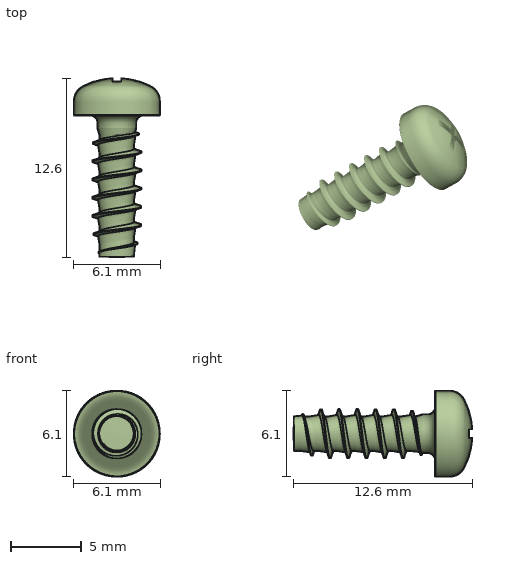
import cadquery as cq
import math


head_radius = 3.05
rim_height = 1.0
rim_chamfer = 0.05
shoulder_radius = 1.2
dome_height = 2.657
slot_width = 0.6
slot_floor = 2.41

shank_length = 10.0
neck_radius = 1.38
neck_fillet = 0.49
neck_end = -0.87
neck_cone_length = 0.53
core_radius = 1.225
tip_cone_height = 0.03
tip_y = tip_cone_height - shank_length
tip_edge_break = 0.04

thread_radius = 1.745
pitch = 1.289
phase_y = -2.58
first_turn = -1.6
full_from_turn = -0.3
full_to_turn = 4.24
last_turn = 5.6
start_scale = 0.37
end_scale = 0.09
points_per_turn = 24

tooth_height = thread_radius - core_radius
crest_half_width = 0.03
flank_break_height = 0.21
flank_break_offset = 0.12
head_side_foot = 0.24
tip_side_foot = 0.155
root_taper_height = 0.11
root_taper_end = 0.8
taper_overrun = 0.04
buried_depth = 0.225


def make_head():
    """Pan head: cylindrical rim, rounded shoulder and a large dome tangent to the shoulder."""
    shoulder_x = head_radius - shoulder_radius
    rise = dome_height - rim_height
    dome_radius = (shoulder_x**2 + rise**2 - shoulder_radius**2) / (2 * (rise - shoulder_radius))
    dome_center_y = dome_height - dome_radius
    join_angle = math.atan2(shoulder_x, rim_height - dome_center_y)

    def on_dome(angle):
        return (dome_radius * math.sin(angle), dome_center_y + dome_radius * math.cos(angle))

    shoulder_angle = (join_angle + math.pi / 2) / 2
    shoulder_middle = (
        shoulder_x + shoulder_radius * math.sin(shoulder_angle),
        rim_height + shoulder_radius * math.cos(shoulder_angle),
    )
    outline = (
        cq.Workplane("XY")
        .lineTo(head_radius - rim_chamfer, 0)
        .lineTo(head_radius, rim_chamfer)
        .lineTo(head_radius, rim_height)
        .threePointArc(shoulder_middle, on_dome(join_angle))
        .threePointArc(on_dome(join_angle / 2), (0, dome_height))
        .close()
    )
    return outline.revolve(360, (0, 0, 0), (0, 1, 0))


def cut_cross_slot(body):
    """Cut two crossing flat-floored slots into the dome."""
    slot_height = dome_height - slot_floor
    middle = (0, slot_floor + slot_height / 2, 0)
    along_x = cq.Workplane("XY").box(2 * head_radius, slot_height, slot_width).translate(middle)
    along_z = cq.Workplane("XY").box(slot_width, slot_height, 2 * head_radius).translate(middle)
    return body.cut(along_x).cut(along_z)


def make_shank():
    """Neck with a fillet under the head, a short cone, the thread core and a shallow cone tip."""
    fillet_reach = neck_fillet * (1 - math.sqrt(0.5))
    overlap = rim_height / 2
    outline = (
        cq.Workplane("XY")
        .moveTo(0, overlap)
        .lineTo(neck_radius + neck_fillet, overlap)
        .lineTo(neck_radius + neck_fillet, 0)
        .threePointArc((neck_radius + fillet_reach, -fillet_reach), (neck_radius, -neck_fillet))
        .lineTo(neck_radius, neck_end)
        .lineTo(core_radius, neck_end - neck_cone_length)
        .lineTo(core_radius, tip_y + tip_edge_break)
        .lineTo(core_radius - tip_edge_break, tip_y)
        .lineTo(0, -shank_length)
        .close()
    )
    return outline.revolve(360, (0, 0, 0), (0, 1, 0))


def tooth_scale(turn):
    """Size of the tooth relative to a full one: it grows in at the neck and fades at the tip."""
    if turn < full_from_turn:
        return start_scale + (1 - start_scale) * (turn - first_turn) / (full_from_turn - first_turn)
    if turn > full_to_turn:
        return end_scale + (1 - end_scale) * (last_turn - turn) / (last_turn - full_to_turn)
    return 1.0


def tooth_section(turn):
    """Corners of the tooth as (axial distance towards the tip, radius), from head side to tip side."""
    scale = tooth_scale(turn)
    buried_radius = core_radius - buried_depth
    foot_slope = (head_side_foot - flank_break_offset) / flank_break_height
    buried_foot = head_side_foot + foot_slope * buried_depth
    taper_height = root_taper_height * scale * (2 - scale)
    taper_drop = taper_height * taper_overrun / (root_taper_end - tip_side_foot * scale)
    return [
        (-buried_foot * scale, buried_radius),
        (-flank_break_offset * scale, core_radius + flank_break_height * scale),
        (-crest_half_width * scale, core_radius + tooth_height * scale),
        (crest_half_width * scale, core_radius + tooth_height * scale),
        (tip_side_foot * scale, core_radius + taper_height),
        (root_taper_end + taper_overrun, core_radius - taper_drop),
        (root_taper_end + taper_overrun, buried_radius),
    ]


def section_points(turn):
    """Corners of the tooth in space at the given turn."""
    angle = 2 * math.pi * turn
    crest_y = phase_y - pitch * turn
    return [
        cq.Vector(radius * math.cos(angle), crest_y - axial, radius * math.sin(angle))
        for axial, radius in tooth_section(turn)
    ]


def thread_side_faces(from_turn, to_turn):
    """Ruled faces between the helical edges traced by neighbouring tooth corners."""
    steps = math.ceil((to_turn - from_turn) * points_per_turn)
    turns = [from_turn + (to_turn - from_turn) * i / steps for i in range(steps + 1)]
    corner_tracks = zip(*[section_points(turn) for turn in turns])
    edges = [cq.Edge.makeSpline(list(track)) for track in corner_tracks]
    return [cq.Face.makeRuledSurface(edges[i - 1], edges[i]) for i in range(len(edges))]


def thread_end_face(turn):
    return cq.Face.makeFromWires(cq.Wire.makePolygon(section_points(turn), close=True))


def make_thread():
    """Helical tooth, trimmed to the stretch between the neck and the tip."""
    faces = [thread_end_face(first_turn), thread_end_face(last_turn)]
    breaks = [first_turn, full_from_turn, full_to_turn, last_turn]
    for from_turn, to_turn in zip(breaks, breaks[1:]):
        faces += thread_side_faces(from_turn, to_turn)
    tooth = cq.Workplane(cq.Solid.makeSolid(cq.Shell.makeShell(faces)))
    threaded_length = neck_end - tip_y
    stretch = cq.Workplane("XZ", origin=(0, neck_end, 0)).circle(head_radius).extrude(threaded_length)
    return tooth.intersect(stretch)


head = cut_cross_slot(make_head())
result = head.union(make_shank()).union(make_thread())